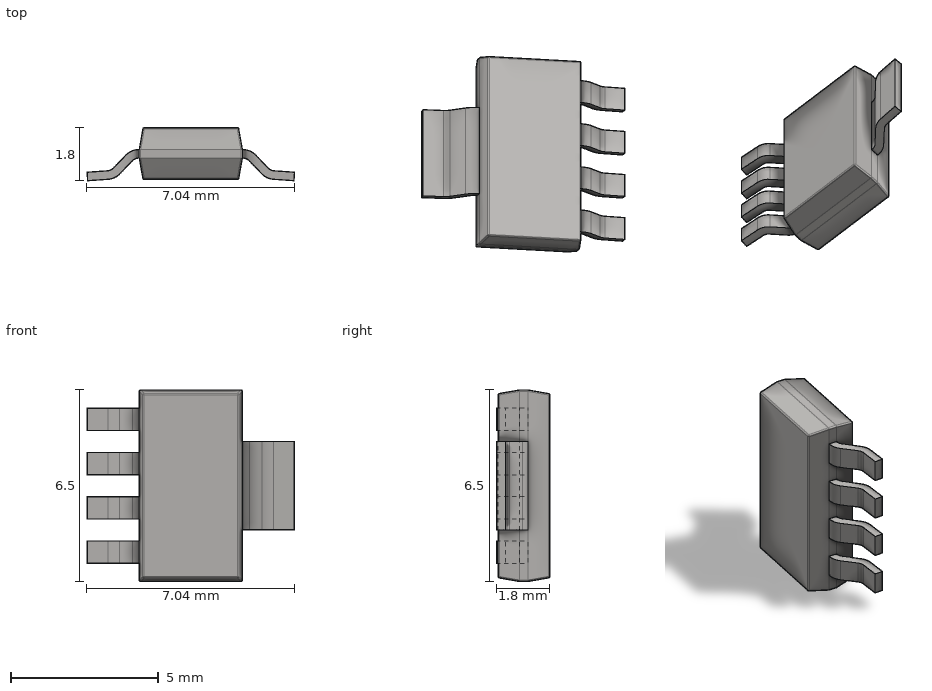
import cadquery as cq
import math


HOUSING_WIDTH = 3.5
HOUSING_HEIGHT = 6.5
BAND_THICKNESS = 0.295
BACK_DEPTH = 0.74
FRONT_DEPTH = 0.72
DRAFT_ANGLE = 10.0
EDGE_RADIUS = 0.053

SPAN = 7.04
STRIP_THICKNESS = BAND_THICKNESS
INNER_BEND_RADIUS = 0.3
SLOPE_ANGLE = 46.0
FOOT_ANGLE = 4.0
ROOT_LENGTH = 0.015
SLOPE_LENGTH = 0.62

LEAD_COUNT = 4
LEAD_WIDTH = 0.76
LEAD_PITCH = 1.5
TAB_WIDTH = 3.0

HALF_BAND = BAND_THICKNESS / 2


def make_housing():
    """Straight band with a tapered block on each side and rounded outer edges."""
    band = (
        cq.Workplane("XZ")
        .rect(HOUSING_WIDTH, HOUSING_HEIGHT)
        .extrude(HALF_BAND, both=True)
    )
    body = band.faces("<Y").wires().toPending().extrude(FRONT_DEPTH, taper=DRAFT_ANGLE)
    body = body.faces(">Y").wires().toPending().extrude(-BACK_DEPTH, taper=DRAFT_ANGLE)
    body = body.edges("not #Y").fillet(EDGE_RADIUS)
    return body.faces("<Y or >Y").edges().fillet(EDGE_RADIUS)


def polar_offset(center, radius, angle):
    """Point at the given radius from center, with the angle measured from +Y toward +X."""
    return (
        center[0] + radius * math.sin(angle),
        center[1] + radius * math.cos(angle),
    )


def make_strip(width):
    """Gull-wing strip that leaves the +X wall of the housing, centred on Z = 0."""
    slope = math.radians(SLOPE_ANGLE)
    foot = math.radians(FOOT_ANGLE)
    inner = INNER_BEND_RADIUS
    outer = inner + STRIP_THICKNESS
    middle = inner + STRIP_THICKNESS / 2

    root_x = HOUSING_WIDTH / 2
    knee_x = root_x + ROOT_LENGTH
    knee = (knee_x, -middle)

    bends_x, bends_y = polar_offset(knee, 2 * middle, slope)
    ankle = (
        bends_x + SLOPE_LENGTH * math.cos(slope),
        bends_y - SLOPE_LENGTH * math.sin(slope),
    )

    foot_start_x = polar_offset(ankle, -inner, foot)[0]
    foot_length = (SPAN / 2 - foot_start_x) / math.cos(foot)

    def toe_point(bend_radius):
        x, y = polar_offset(ankle, -bend_radius, foot)
        return (x + foot_length * math.cos(foot), y - foot_length * math.sin(foot))

    mid_knee = slope / 2
    mid_ankle = (slope + foot) / 2
    outline = (
        cq.Workplane("XY", origin=(0, 0, -width / 2))
        .moveTo(root_x, HALF_BAND)
        .lineTo(knee_x, HALF_BAND)
        .threePointArc(polar_offset(knee, outer, mid_knee), polar_offset(knee, outer, slope))
        .lineTo(*polar_offset(ankle, -inner, slope))
        .threePointArc(polar_offset(ankle, -inner, mid_ankle), polar_offset(ankle, -inner, foot))
        .lineTo(*toe_point(inner))
        .lineTo(*toe_point(outer))
        .lineTo(*polar_offset(ankle, -outer, foot))
        .threePointArc(polar_offset(ankle, -outer, mid_ankle), polar_offset(ankle, -outer, slope))
        .lineTo(*polar_offset(knee, inner, slope))
        .threePointArc(polar_offset(knee, inner, mid_knee), (knee_x, -HALF_BAND))
        .lineTo(root_x, -HALF_BAND)
        .close()
    )
    return outline.extrude(width)


housing = make_housing()
tab = make_strip(TAB_WIDTH)

lead_template = make_strip(LEAD_WIDTH).mirror("YZ")
leads = []
for index in range(LEAD_COUNT):
    lead_z = (index - (LEAD_COUNT - 1) / 2) * LEAD_PITCH
    leads.append(lead_template.translate((0, 0, lead_z)).val())

result = cq.Compound.makeCompound([housing.val(), tab.val(), *leads])